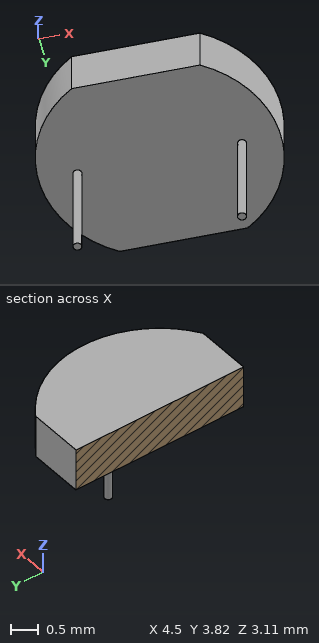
import cadquery as cq

body_diameter = 4.5
body_width = 3.82
body_height = 0.95

total_height = 3.11
lead_diameter = 0.16
lead_spacing = 3.05
lead_length = total_height - body_height


def make_body():
    """Disc standing on Z = 0, trimmed to the body width along Y."""
    disc = cq.Workplane("XY").circle(body_diameter / 2).extrude(body_height)
    trim = cq.Workplane("XY").box(
        body_diameter, body_width, body_height, centered=(True, True, False)
    )
    return disc.intersect(trim)


def make_leads():
    """Two round wires hanging down from the underside."""
    return (
        cq.Workplane("XY")
        .pushPoints([(-lead_spacing / 2, 0), (lead_spacing / 2, 0)])
        .circle(lead_diameter / 2)
        .extrude(-lead_length)
    )


result = make_body().union(make_leads())